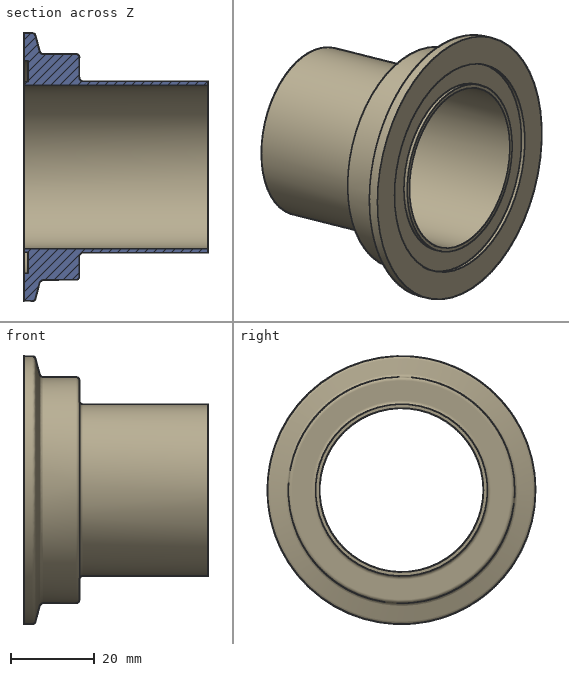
import cadquery as cq
import math

total_length = 44.0
rim_width = 2.65
collar_end = 13.3
groove_depth = 1.0

flange_radius = 64.0 / 2
collar_radius = 54.0 / 2
tube_radius = 41.0 / 2
bore_radius = 39.0 / 2
groove_outer_radius = 50.7 / 2
groove_inner_radius = 40.8 / 2

cone_angle = 15.0
blend_radius = 0.85

cone_end = rim_width + (flange_radius - collar_radius) * math.tan(math.radians(cone_angle))


def revolve_about_x(points):
    """Solid of revolution from (x, radius) corner points."""
    profile = cq.Workplane("XY").polyline(points).close()
    return profile.revolve(360, (0, 0, 0), (1, 0, 0))


def circle_edges(body, x, radius):
    """Circular edges of the body lying at the given axial position and radius."""
    margin = 0.01
    reach = radius + margin
    box = cq.selectors.BoxSelector((x - margin, -reach, -reach), (x + margin, reach, reach), True)
    edges = body.edges("%CIRCLE").edges(box).vals()
    return [edge for edge in edges if abs(edge.radius() - radius) < margin]


def make_ferrule_blank():
    """Solid flange, cone, collar and tube with all their edge blends."""
    blank = revolve_about_x([
        (0, 0),
        (0, flange_radius),
        (rim_width, flange_radius),
        (cone_end, collar_radius),
        (collar_end, collar_radius),
        (collar_end, tube_radius),
        (total_length, tube_radius),
        (total_length, 0),
    ])
    blended_corners = [
        (rim_width, flange_radius),
        (cone_end, collar_radius),
        (collar_end, collar_radius),
        (collar_end, tube_radius),
    ]
    blended_edges = []
    for x, radius in blended_corners:
        blended_edges.extend(circle_edges(blank, x, radius))
    return blank.newObject(blended_edges).fillet(blend_radius)


def make_bore():
    return cq.Workplane("YZ").circle(bore_radius).extrude(total_length)


def make_face_groove():
    """Shallow flat ring sunk into the sealing face, leaving a lip around the bore."""
    ring = cq.Workplane("YZ").circle(groove_outer_radius).circle(groove_inner_radius)
    return ring.extrude(groove_depth)


result = make_ferrule_blank().cut(make_bore()).cut(make_face_groove())